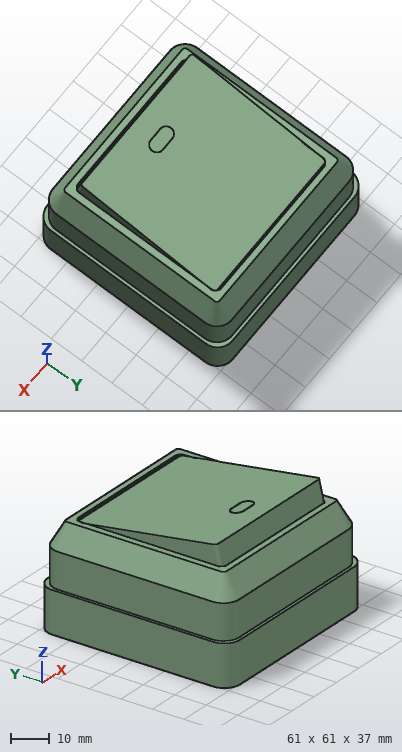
import cadquery as cq
import math

base_width = 61.0
base_height = 13.0

housing_width = 59.0
housing_wall_top = 24.0
housing_top = 31.0
bevel_angle = 30.0
corner_radius = 5.0

recess_width = 46.7
recess_length = 47.0
recess_depth = 0.5
recess_corner_radius = 1.8

rocker_peak_height = 37.0
rocker_front_y = -21.45
rocker_back_y = 23.0
rocker_tilt = 8.3
rocker_front_lean = 13.0
rocker_corner_radius = 1.0

lens_length = 8.0
lens_width = 4.0
lens_center_y = -13.0
lens_rise = 0.1
lens_embed = 1.0

recess_floor = housing_top - recess_depth
tilt_slope = math.tan(math.radians(rocker_tilt))


def rocker_face_height(y):
    """Height of the sloping rocker face at a given Y."""
    return rocker_peak_height - (y - rocker_front_y) * tilt_slope


def rounded_block(width, length, bottom, top, radius):
    """Block centred on the Z axis with rounded vertical corners."""
    block = cq.Workplane("XY").workplane(offset=bottom).rect(width, length).extrude(top - bottom)
    return block.edges("|Z").fillet(radius)


def make_housing():
    """Straight-walled lower part of the housing with a tapered band on top."""
    walls = rounded_block(housing_width, housing_width, base_height, housing_wall_top, corner_radius)
    band_outline = cq.Sketch().rect(housing_width, housing_width).vertices().fillet(corner_radius)
    band = (
        cq.Workplane("XY")
        .workplane(offset=housing_wall_top)
        .placeSketch(band_outline)
        .extrude(housing_top - housing_wall_top, taper=bevel_angle)
    )
    return walls.union(band)


def make_rocker():
    """Wedge profile in the YZ plane, extruded across the recess width."""
    foot_run = (rocker_peak_height - recess_floor) * math.tan(math.radians(rocker_front_lean))
    profile = [
        (rocker_front_y - foot_run, recess_floor),
        (rocker_front_y, rocker_peak_height),
        (rocker_back_y, rocker_face_height(rocker_back_y)),
        (rocker_back_y, recess_floor),
    ]
    wedge = cq.Workplane("YZ").polyline(profile).close().extrude(recess_width / 2, both=True)
    upright_edges = wedge.faces("<Y or >Y").edges("not |X")
    return upright_edges.fillet(rocker_corner_radius)


def make_lens():
    """Slot-shaped lens, square to the rocker face."""
    face_plane = cq.Plane(
        origin=(0, lens_center_y, rocker_face_height(lens_center_y)),
        xDir=(1, 0, 0),
        normal=(0, tilt_slope, 1),
    )
    return (
        cq.Workplane(face_plane)
        .workplane(offset=-lens_embed)
        .slot2D(lens_length, lens_width)
        .extrude(lens_embed + lens_rise)
    )


base = rounded_block(base_width, base_width, 0, base_height, corner_radius)
recess = rounded_block(recess_width, recess_length, recess_floor, housing_top, recess_corner_radius)

result = base.union(make_housing()).cut(recess).union(make_rocker()).union(make_lens())